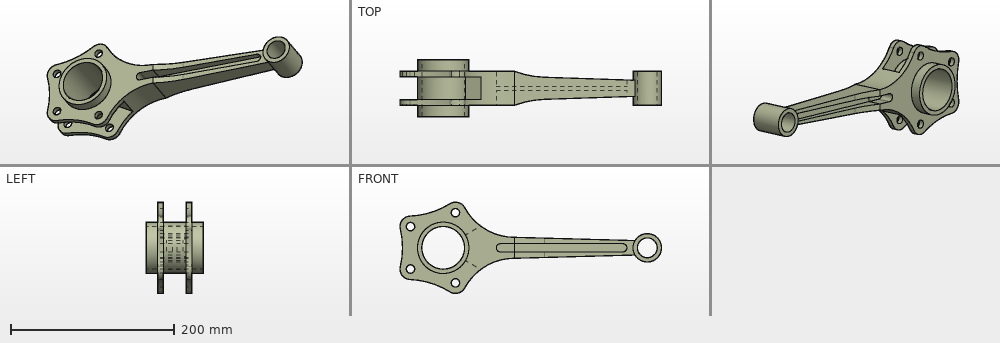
import cadquery as cq
import math


pin_distance = 250.0
body_width = 42.0

big_tube_diameter = 63.0
big_bore_diameter = 52.0
big_tube_length = 70.0

flange_thickness = 7.0
fork_gap = body_width - 2 * flange_thickness
upper_lobe_x, upper_lobe_z = 15.0, 43.0
rear_lobe_x, rear_lobe_z = -40.0, 26.0
lobe_radius = 13.0
lobe_hole_diameter = 10.0
waist_radius = 100.0
throat_radius = 69.0
joint_half_height = 13.0
gap_end_half_angle = 30.0

height_taper_angle = 1.55
width_taper_angle = 1.9
half_width_at_pin = 9.5
width_blend_end_x = 124.0

eye_diameter = 35.0
eye_bore_diameter = 24.0
eye_length = body_width

groove_start_x = 65.0
groove_end_x = 225.0
groove_height = 10.0
web_thickness = 5.0

joint_x = upper_lobe_x + math.sqrt(
    (throat_radius + lobe_radius) ** 2 - (joint_half_height + throat_radius - upper_lobe_z) ** 2
)
throat_z = joint_half_height + throat_radius

height_slope = math.tan(math.radians(height_taper_angle))
width_slope = math.tan(math.radians(width_taper_angle))
half_height_at_pin = joint_half_height - (pin_distance - joint_x) * height_slope
half_width_at_blend = half_width_at_pin + (pin_distance - width_blend_end_x) * width_slope


def mirrored(point):
    return point[0], -point[1]


def midpoint(first, second):
    return (first[0] + second[0]) / 2, (first[1] + second[1]) / 2


def waist_centre(first, second):
    """Centre of the concave arc between two lobes, on the left when going from first to second."""
    dx, dz = second[0] - first[0], second[1] - first[1]
    span = math.hypot(dx, dz)
    offset = math.sqrt((waist_radius + lobe_radius) ** 2 - (span / 2) ** 2)
    middle_x, middle_z = midpoint(first, second)
    return middle_x - dz / span * offset, middle_z + dx / span * offset


def toward(start, target, distance):
    """Point at a distance from start, on the way to target."""
    span = math.dist(start, target)
    return (
        start[0] + (target[0] - start[0]) * distance / span,
        start[1] + (target[1] - start[1]) * distance / span,
    )


def extrude_along_y(sketch, length):
    """Extrude an XZ sketch by a length centred on the XZ plane."""
    return sketch.extrude(length).translate((0, length / 2, 0))


def cylinder_along_y(x, z, diameter, length):
    return extrude_along_y(cq.Workplane("XZ").center(x, z).circle(diameter / 2), length)


def fork_outline():
    """Star-shaped outline of the fork: convex lobes joined by concave tangent arcs."""
    upper = (upper_lobe_x, upper_lobe_z)
    rear = (rear_lobe_x, rear_lobe_z)
    throat = (joint_x, throat_z)
    top_waist = waist_centre(rear, upper)
    rear_waist = waist_centre(mirrored(rear), rear)

    joint = (joint_x, joint_half_height)
    throat_end = toward(upper, throat, lobe_radius)
    throat_middle = toward(throat, midpoint(joint, throat_end), throat_radius)
    upper_tip = toward(upper, (0, 0), -lobe_radius)
    top_waist_start = toward(upper, top_waist, lobe_radius)
    top_waist_middle = toward(top_waist, midpoint(upper, rear), waist_radius)
    top_waist_end = toward(rear, top_waist, lobe_radius)
    rear_tip = toward(rear, (0, 0), -lobe_radius)
    rear_waist_start = toward(rear, rear_waist, lobe_radius)
    rear_waist_middle = (rear_waist[0] + waist_radius, 0)

    return (
        cq.Workplane("XZ")
        .moveTo(*joint)
        .threePointArc(throat_middle, throat_end)
        .threePointArc(upper_tip, top_waist_start)
        .threePointArc(top_waist_middle, top_waist_end)
        .threePointArc(rear_tip, rear_waist_start)
        .threePointArc(rear_waist_middle, mirrored(rear_waist_start))
        .threePointArc(mirrored(rear_tip), mirrored(top_waist_end))
        .threePointArc(mirrored(top_waist_middle), mirrored(top_waist_start))
        .threePointArc(mirrored(upper_tip), mirrored(throat_end))
        .threePointArc(mirrored(throat_middle), mirrored(joint))
        .close()
    )


def solid_neck():
    """Wedge with radial sides that closes the gap between the flanges towards the shank."""
    side_z = joint_x * math.tan(math.radians(gap_end_half_angle))
    wedge = cq.Workplane("XZ").polyline([(0, 0), (joint_x, side_z), (joint_x, -side_z)]).close()
    return extrude_along_y(wedge, fork_gap).intersect(extrude_along_y(fork_outline(), fork_gap))


def grooves():
    """Two round-ended blocks, one on each side of the web."""
    depth = body_width / 2
    length = groove_end_x - groove_start_x
    slot = cq.Workplane("XZ").center((groove_start_x + groove_end_x) / 2, 0).slot2D(length, groove_height)
    near = slot.extrude(depth).translate((0, -web_thickness / 2, 0))
    return near.union(near.mirror("XZ"))


def make_fork():
    """Body 1: two flanges on the big-end tube, joined by the neck that meets the rod."""
    outline = extrude_along_y(fork_outline(), body_width)
    gap = extrude_along_y(fork_outline(), fork_gap)
    fork = outline.cut(gap).union(solid_neck())
    fork = fork.union(cylinder_along_y(0, 0, big_tube_diameter, big_tube_length))
    fork = fork.cut(cylinder_along_y(0, 0, big_bore_diameter, big_tube_length))
    for x, z in [(upper_lobe_x, upper_lobe_z), (rear_lobe_x, rear_lobe_z)]:
        for side in (1, -1):
            fork = fork.cut(cylinder_along_y(x, side * z, lobe_hole_diameter, body_width))
    return fork.cut(grooves())


def blend_arc_middle(end, start):
    """Middle of the arc from end to start that leaves end in line with the width taper."""
    dx, dy = start[0] - end[0], start[1] - end[1]
    chord = math.hypot(dx, dy)
    turn = math.atan2(dy, -dx) - math.radians(width_taper_angle)
    sag = chord / 2 * math.tan(turn / 2)
    middle_x, middle_y = midpoint(start, end)
    return middle_x - sag * dy / chord, middle_y + sag * dx / chord


def shank():
    """Rod shank: the overlap of its tapered side outline and its tapered top outline."""
    joint_top = (joint_x, joint_half_height)
    pin_top = (pin_distance, half_height_at_pin)
    side_outline = cq.Workplane("XZ").polyline([joint_top, pin_top, mirrored(pin_top), mirrored(joint_top)])
    side = extrude_along_y(side_outline.close(), body_width)

    blend_end = (width_blend_end_x, half_width_at_blend)
    blend_start = (joint_x, body_width / 2)
    width_blend = blend_arc_middle(blend_end, blend_start)
    top = (
        cq.Workplane("XY")
        .moveTo(pin_distance, half_width_at_pin)
        .lineTo(*blend_end)
        .threePointArc(width_blend, blend_start)
        .lineTo(*mirrored(blend_start))
        .threePointArc(mirrored(width_blend), mirrored(blend_end))
        .lineTo(pin_distance, -half_width_at_pin)
        .close()
        .extrude(joint_half_height, both=True)
    )
    return side.intersect(top)


def make_rod():
    """Body 2: tapered shank with the small-end eye, butted against the fork at the joint."""
    rod = shank().union(cylinder_along_y(pin_distance, 0, eye_diameter, eye_length))
    rod = rod.cut(cylinder_along_y(pin_distance, 0, eye_bore_diameter, eye_length))
    return rod.cut(grooves())


fork = make_fork()
rod = make_rod()

result = cq.Compound.makeCompound([fork.val(), rod.val()])